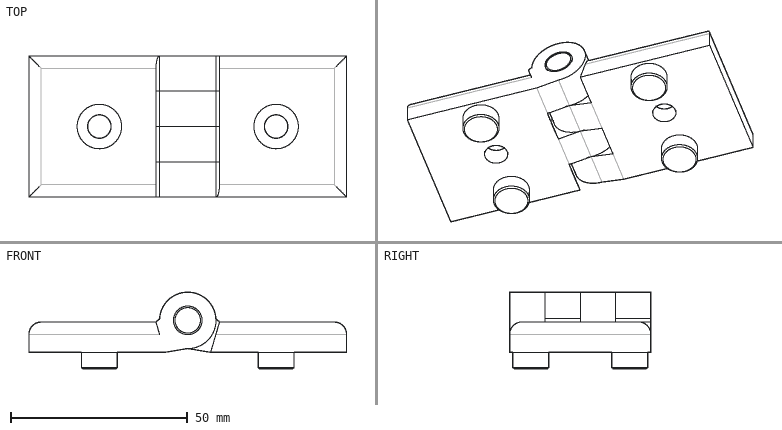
import cadquery as cq
import math

hinge_length = 90.0
hinge_width = 40.0
overall_height = 21.8

plate_thickness = 8.6
edge_radius = 3.5
plate_end_bottom = 6.5
plate_end_top = 9.0

fixing_offset = 25.0

boss_diameter = 10.3
boss_height = 4.7
boss_chamfer = 0.45
boss_spacing = 28.0

hole_diameter = 6.6
countersink_diameter = 12.6
countersink_angle = 90.0

knuckle_count = 4
knuckle_radius = 8.0
knuckle_width = hinge_width / knuckle_count
axis_height = overall_height - boss_height - knuckle_radius
web_rise = 0.45
pin_diameter = 8.1
pin_chamfer = 0.45

half_length = hinge_length / 2
half_width = hinge_width / 2


def make_plate():
    """Flat plate on the -X side with a slanted inner end and three rounded top edges."""
    plate = (
        cq.Workplane("XZ", origin=(0, half_width, 0))
        .moveTo(-half_length, 0)
        .lineTo(-plate_end_bottom, 0)
        .lineTo(-plate_end_top, plate_thickness)
        .lineTo(-half_length, plate_thickness)
        .close()
        .extrude(hinge_width)
    )
    side_edges = plate.faces(">Z").edges("|X")
    return side_edges.add(plate.faces(">Z").edges("<X")).fillet(edge_radius)


def make_bosses():
    """Two round bosses below the plate, chamfered at their free ends."""
    return (
        cq.Workplane("XY")
        .pushPoints([(-fixing_offset, -boss_spacing / 2), (-fixing_offset, boss_spacing / 2)])
        .circle(boss_diameter / 2)
        .extrude(-boss_height)
        .faces("<Z")
        .chamfer(boss_chamfer)
    )


def make_knuckle(front_y):
    """One knuckle with its web to the plate, running from front_y toward +Y."""
    sketch_plane = cq.Workplane("XZ", origin=(0, front_y, 0))
    barrel = sketch_plane.center(0, axis_height).circle(knuckle_radius).extrude(-knuckle_width)
    web_contact_x = -math.sqrt(knuckle_radius**2 - web_rise**2)
    web = (
        sketch_plane
        .moveTo(-plate_end_bottom, 0)
        .lineTo(0, axis_height - knuckle_radius)
        .lineTo(0, axis_height)
        .lineTo(web_contact_x, axis_height + web_rise)
        .lineTo(-plate_end_top, plate_thickness)
        .close()
        .extrude(-knuckle_width)
    )
    return barrel.union(web)


def make_pin_cylinder():
    """Plain cylinder on the hinge axis over the full width, for the bore and the pin."""
    return (
        cq.Workplane("XZ", origin=(0, half_width, axis_height))
        .circle(pin_diameter / 2)
        .extrude(hinge_width)
    )


def make_leaf():
    """Leaf on the -X side, carrying every second knuckle from the -Y end."""
    leaf = make_plate().union(make_bosses())
    for index in range(0, knuckle_count, 2):
        leaf = leaf.union(make_knuckle(-half_width + index * knuckle_width))
    return (
        leaf.cut(make_pin_cylinder())
        .copyWorkplane(cq.Workplane("XY", origin=(-fixing_offset, 0, plate_thickness)))
        .cskHole(hole_diameter, countersink_diameter, countersink_angle)
    )


def make_pin():
    """Hinge pin, flush with both outer knuckle faces and chamfered at its ends."""
    return make_pin_cylinder().faces("<Y or >Y").chamfer(pin_chamfer)


leaves = [make_leaf().rotate((0, 0, 0), (0, 0, 1), turn) for turn in (0, 180)]
pin = make_pin()

result = cq.Compound.makeCompound([*(leaf.val() for leaf in leaves), pin.val()])